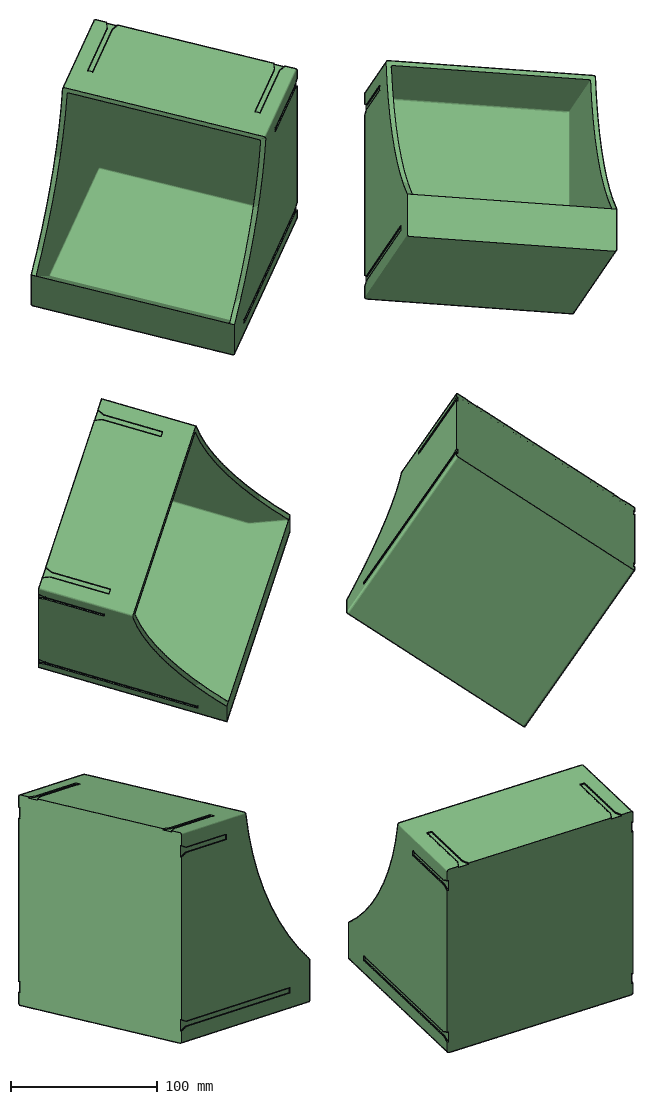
import cadquery as cq

WIDTH = 146.1
DEPTH = 134.4
HEIGHT = 149.3

WALL = 3.6
BACK_WALL = 0.7
FLOOR = 2.7
CORNER_RADIUS = 1.6
INNER_RADIUS = 1.3

TOP_DEPTH = 67.2
LIP_HEIGHT = 30.5
FRONT_RADIUS = 191.1

GROOVE_WIDTH = 3.6
GROOVE_DEPTH = 0.9
GROOVE_INSET = 13.0
MOUTH_WIDTH = 7.9
MOUTH_LENGTH = 5.0
SHORT_GROOVE = 46.9
LONG_GROOVE = 113.6

FRONT = -DEPTH / 2
BACK = DEPTH / 2
SIDE = WIDTH / 2


def make_body():
    """Full block standing on Z = 0, with its long edges rounded."""
    block = cq.Workplane("XY").box(WIDTH, DEPTH, HEIGHT, centered=(True, True, False))
    return block.edges("|Y").fillet(CORNER_RADIUS)


def make_front_cut():
    """Region in front of the concave front edge of the side walls."""
    return (
        cq.Workplane("YZ")
        .moveTo(BACK - TOP_DEPTH, HEIGHT)
        .radiusArc((FRONT, LIP_HEIGHT), FRONT_RADIUS)
        .lineTo(FRONT, HEIGHT)
        .close()
        .extrude(SIDE, both=True)
    )


def make_cavity():
    """Inside space with a 45 degree ramp up to the lip; all edges but the front ones are rounded."""
    ramp_length = LIP_HEIGHT - FLOOR
    return (
        cq.Workplane("YZ")
        .moveTo(FRONT, LIP_HEIGHT)
        .lineTo(FRONT + ramp_length, FLOOR)
        .lineTo(BACK - BACK_WALL, FLOOR)
        .lineTo(BACK - BACK_WALL, HEIGHT - WALL)
        .lineTo(FRONT, HEIGHT - WALL)
        .close()
        .extrude(SIDE - WALL, both=True)
        .edges("not <Y")
        .fillet(INNER_RADIUS)
    )


def make_groove(length):
    """Groove cutter along Y with a flared mouth at the back, sunk below Z = 0."""
    return (
        cq.Workplane("XY")
        .moveTo(-MOUTH_WIDTH / 2, BACK)
        .lineTo(-GROOVE_WIDTH / 2, BACK - MOUTH_LENGTH)
        .lineTo(-GROOVE_WIDTH / 2, BACK - length)
        .lineTo(GROOVE_WIDTH / 2, BACK - length)
        .lineTo(GROOVE_WIDTH / 2, BACK - MOUTH_LENGTH)
        .lineTo(MOUTH_WIDTH / 2, BACK)
        .close()
        .extrude(-GROOVE_DEPTH)
    )


result = make_body().cut(make_front_cut()).cut(make_cavity())

short_groove = make_groove(SHORT_GROOVE)
long_groove = make_groove(LONG_GROOVE)
side_grooves = ((short_groove, HEIGHT - GROOVE_INSET), (long_groove, GROOVE_INSET))
for side in (-1, 1):
    top_groove = short_groove.translate((side * (SIDE - GROOVE_INSET), 0, HEIGHT))
    result = result.cut(top_groove)
    for groove, height in side_grooves:
        side_groove = groove.rotate((0, 0, 0), (0, 1, 0), side * 90)
        result = result.cut(side_groove.translate((side * SIDE, 0, height)))